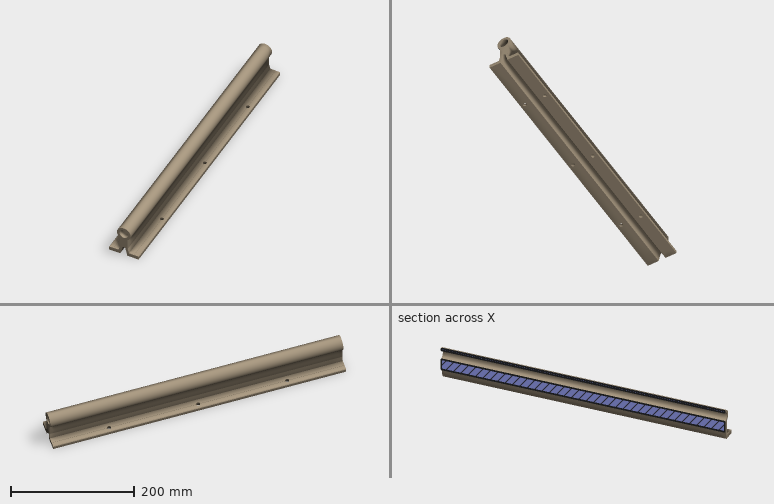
import cadquery as cq

length = 500.0
base_width = 54.0
height = 57.0

tube_radius = 12.5
bore_radius = 8.0
tube_center_z = height - tube_radius

web_half_width = 7.0
splay_top_z = 15.0
leg_foot_half_width = 9.5
flange_thickness = 6.5
edge_chamfer = 1.0

channel_foot_half_width = 6.5
channel_shoulder_half_width = 3.0
channel_shoulder_z = 14.0
channel_top_z = 16.5

hole_diameter = 6.5
hole_spacing_x = 37.5
hole_spacing_y = 152.0
holes_per_row = 3
groove_width = 0.5
groove_depth = 0.5


def extrude_along_rail(profile):
    """Extrude an XZ profile over the full rail length, centred on Y = 0."""
    return profile.extrude(length / 2, both=True)


def make_support():
    half_width = base_width / 2
    profile = (
        cq.Workplane("XZ")
        .moveTo(-half_width, 0)
        .lineTo(-channel_foot_half_width, 0)
        .lineTo(-channel_shoulder_half_width, channel_shoulder_z)
        .threePointArc((0, channel_top_z), (channel_shoulder_half_width, channel_shoulder_z))
        .lineTo(channel_foot_half_width, 0)
        .lineTo(half_width, 0)
        .lineTo(half_width, flange_thickness - edge_chamfer)
        .lineTo(half_width - edge_chamfer, flange_thickness)
        .lineTo(leg_foot_half_width, flange_thickness)
        .lineTo(web_half_width, splay_top_z)
        .lineTo(web_half_width, tube_center_z)
        .lineTo(-web_half_width, tube_center_z)
        .lineTo(-web_half_width, splay_top_z)
        .lineTo(-leg_foot_half_width, flange_thickness)
        .lineTo(-half_width + edge_chamfer, flange_thickness)
        .lineTo(-half_width, flange_thickness - edge_chamfer)
        .close()
    )
    return extrude_along_rail(profile)


def tube_cylinder(radius):
    return extrude_along_rail(cq.Workplane("XZ").center(0, tube_center_z).circle(radius))


def make_groove(center_x):
    profile = cq.Workplane("XZ").polyline([
        (center_x - groove_width / 2, flange_thickness),
        (center_x, flange_thickness - groove_depth),
        (center_x + groove_width / 2, flange_thickness),
    ]).close()
    return extrude_along_rail(profile)


def make_mounting_holes():
    return (
        cq.Workplane("XY")
        .rarray(hole_spacing_x, hole_spacing_y, 2, holes_per_row)
        .circle(hole_diameter / 2)
        .extrude(flange_thickness)
    )


result = make_support().union(tube_cylinder(tube_radius)).cut(tube_cylinder(bore_radius))
for side in (-1, 1):
    result = result.cut(make_groove(side * hole_spacing_x / 2))
result = result.cut(make_mounting_holes())